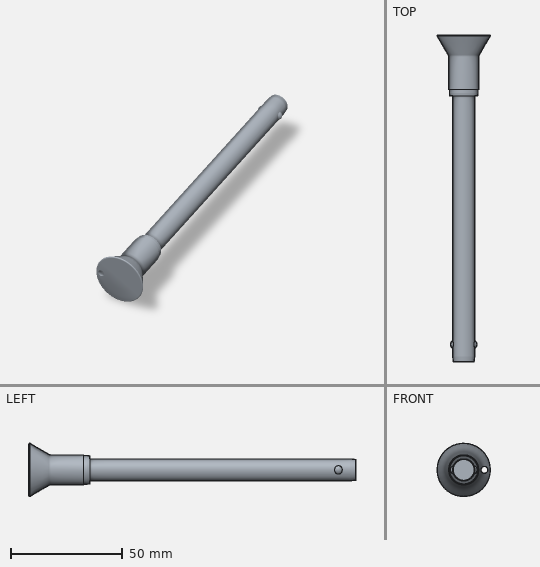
import cadquery as cq
import math


overall_length = 147.1
head_length = 27.5
shank_length = overall_length - head_length

shank_diameter = 10.0
tip_diameter = 9.4
tip_length = 2.4

collar_diameter = 13.0
collar_end_diameter = 12.6
collar_taper_length = 1.2
collar_length = 2.9

grip_diameter = 13.6
flare_length = 9.4
flare_blend_radius = 1.5
head_diameter = 24.0
rim_radius = 0.5

lanyard_hole_diameter = 3.0
lanyard_hole_offset = 9.3

ball_span = 12.0
ball_diameter = 4.0
ball_setback = 7.8


def pin_body():
    """Revolve the half profile of shank, collar, grip and head about Y."""
    shank_radius = shank_diameter / 2
    collar_radius = collar_diameter / 2
    grip_radius = grip_diameter / 2
    head_radius = head_diameter / 2
    tip_y = -shank_length
    flare_y = head_length - flare_length
    rim_y = head_length - rim_radius

    flare_angle = math.atan2(head_radius - grip_radius, rim_y - flare_y)
    blend_tangent = flare_blend_radius * math.tan(flare_angle / 2)
    blend_end = (
        grip_radius + blend_tangent * math.sin(flare_angle),
        flare_y + blend_tangent * math.cos(flare_angle),
    )

    profile = (
        cq.Workplane("XY")
        .moveTo(0, tip_y)
        .lineTo(tip_diameter / 2, tip_y)
        .lineTo(shank_radius, tip_y + tip_length)
        .lineTo(shank_radius, 0)
        .lineTo(collar_end_diameter / 2, 0)
        .lineTo(collar_radius, collar_taper_length)
        .lineTo(collar_radius, collar_length)
        .lineTo(grip_radius, collar_length)
        .lineTo(grip_radius, flare_y - blend_tangent)
        .tangentArcPoint(blend_end, relative=False)
        .lineTo(head_radius, rim_y)
        .radiusArc((head_radius - rim_radius, head_length), -rim_radius)
        .lineTo(0, head_length)
        .close()
    )
    return profile.revolve(360, (0, 0, 0), (0, 1, 0))


def locking_ball(side):
    """Ball standing out of the shank on the given X side (+1 or -1)."""
    ball_radius = ball_diameter / 2
    ball_x = side * (ball_span / 2 - ball_radius)
    ball_y = -shank_length + ball_setback
    return cq.Workplane("XY").sphere(ball_radius).translate((ball_x, ball_y, 0))


def lanyard_hole():
    """Cutter for the lanyard hole, running from the shoulder plane to the back of the head."""
    return (
        cq.Workplane("XZ", origin=(lanyard_hole_offset, 0, 0))
        .circle(lanyard_hole_diameter / 2)
        .extrude(-head_length)
    )


result = pin_body()
for side in (-1, 1):
    result = result.union(locking_ball(side))
result = result.cut(lanyard_hole())